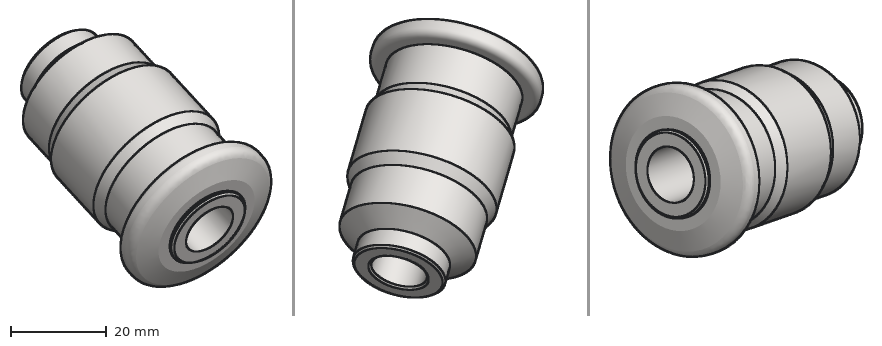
import cadquery as cq

length = 54.7
bore_radius = 6.0
end_chamfer = 0.5

neck_radius = 10.0
body_radius = 14.75
band_radius = 16.15
flange_radius = 18.5
flange_face_radius = 12.3
spigot_radius = 9.5

shoulder_start = 4.5
shoulder_end = 7.9
band_rise_start = 17.35
band_start = 20.0
band_end = 35.4
band_fall_end = 37.85
flange_start = 47.5
flange_cone_start = 51.8
flange_end = length - 2 * end_chamfer

flange_front_fillet = 1.55
flange_rear_fillet = 2.1


def revolve_outline(points):
    """Revolve a closed outline of (X, radius) points about the X axis."""
    return cq.Workplane("XY").polyline(points).close().revolve(360, (0, 0, 0), (1, 0, 0))


def make_body():
    """Stepped neck, raised middle band and the cylinder running into the flange."""
    return revolve_outline([
        (0, 0),
        (0, neck_radius - end_chamfer),
        (end_chamfer, neck_radius),
        (shoulder_start, neck_radius),
        (shoulder_end, body_radius),
        (band_rise_start, body_radius),
        (band_start, band_radius),
        (band_end, band_radius),
        (band_fall_end, body_radius),
        (flange_start, body_radius),
        (flange_start, 0),
    ])


def make_flange():
    """Flange with a rounded rim and a conical rear face."""
    flange = revolve_outline([
        (flange_start, 0),
        (flange_start, flange_radius),
        (flange_cone_start, flange_radius),
        (flange_end, flange_face_radius),
        (flange_end, 0),
    ])
    front_rim = cq.selectors.RadiusNthSelector(-1)
    flange = flange.faces("<X").edges(front_rim).fillet(flange_front_fillet)
    rear_rim = cq.selectors.BoxSelector(
        (flange_cone_start - end_chamfer, -length, -length),
        (flange_cone_start + end_chamfer, length, length),
    )
    return flange.edges("%CIRCLE").edges(rear_rim).fillet(flange_rear_fillet)


def make_spigot():
    """Short chamfered spigot behind the flange."""
    return revolve_outline([
        (flange_end, 0),
        (flange_end, spigot_radius),
        (length - end_chamfer, spigot_radius),
        (length, spigot_radius - end_chamfer),
        (length, 0),
    ])


def make_bore():
    """Through bore, chamfered at the small end."""
    return revolve_outline([
        (0, 0),
        (0, bore_radius + end_chamfer),
        (end_chamfer, bore_radius),
        (length, bore_radius),
        (length, 0),
    ])


result = make_body().union(make_flange()).union(make_spigot()).cut(make_bore())